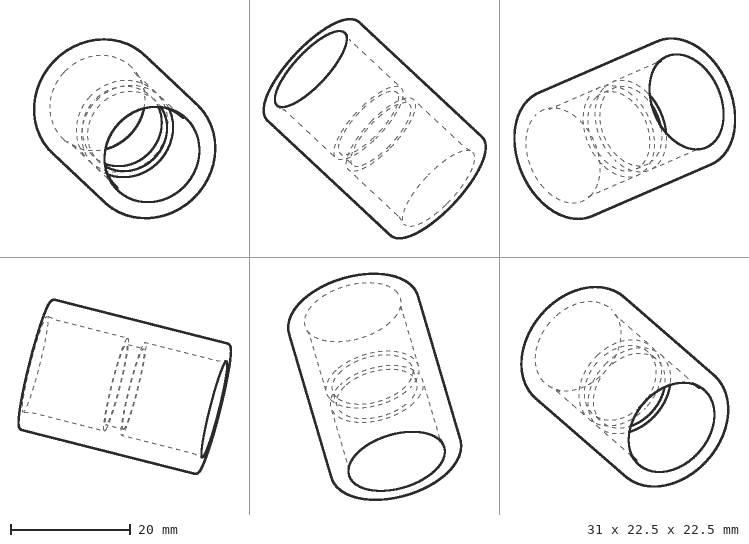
import cadquery as cq

length = 31.0
outer_diameter = 22.5
edge_fillet = 0.6

socket_diameter = 16.0
socket_depth = 14.0
mouth_diameter = 16.6
mouth_length = 1.5
stop_diameter = 13.9


def make_sleeve():
    """Solid cylinder along X, centred on the origin, with both outer end edges rounded."""
    cylinder = cq.Workplane("YZ", origin=(-length / 2, 0, 0)).circle(outer_diameter / 2).extrude(length)
    return cylinder.edges("%CIRCLE").fillet(edge_fillet)


def make_bore():
    """Revolved cutter: tapered mouth and socket at each end, narrower stop bore in the middle."""
    end_x = length / 2
    mouth_x = end_x - mouth_length
    stop_x = end_x - socket_depth
    half_profile = [
        (stop_x, stop_diameter / 2),
        (stop_x, socket_diameter / 2),
        (mouth_x, socket_diameter / 2),
        (end_x, mouth_diameter / 2),
    ]
    mirrored_profile = [(-x, radius) for x, radius in reversed(half_profile)]
    outline = [(-end_x, 0), *mirrored_profile, *half_profile, (end_x, 0)]
    return cq.Workplane("XY").polyline(outline).close().revolve(360, (0, 0, 0), (1, 0, 0))


result = make_sleeve().cut(make_bore())